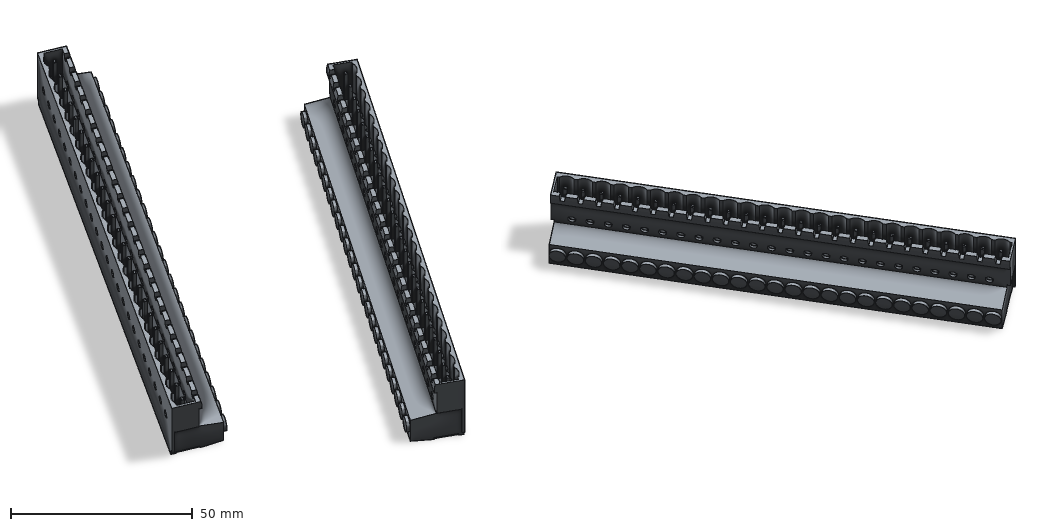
import cadquery as cq
import math

length = 128.6
height = 22.0
depth = 16.2

pin_count = 25
pitch = 5.08
pin_width = 1.0
pin_y = 4.0
pin_top = 20.8
pin_bevel = 0.3
pin_embed = 0.6

shroud_back = 7.8
front_plate_depth = 0.8
end_wall = 0.6
pocket_floor = 10.9
pocket_front = 1.7
pocket_back = 7.0
scallop_radius = 3.1

rail_crest_back = 8.6
rail_top_back = 8.4
rail_shoulder_drop = 1.2
rail_drop = 3.2
notch_top_width = 1.8
notch_bottom_width = 1.2
notch_depth = 1.7

hole_diameter = 2.2
hole_z = 12.1

housing_length = 126.8
housing_back = 15.2
housing_step_z = 10.8
housing_front_top = 9.9
housing_back_top = 8.9
housing_back_bottom = 0.8
underside_back = 9.1
plate_bottom = 1.7

foot_height = 0.4
foot_inset = 0.3
foot_front = 1.5
foot_back = 8.4

boss_diameter = 4.6
boss_z = 5.4


def row_positions(count):
    """X positions of a centred row at the contact pitch."""
    return [(i - (count - 1) / 2) * pitch for i in range(count)]


def block(x_size, y_min, y_max, z_min, z_max):
    """Box centred on X, placed by its Y and Z limits."""
    box = cq.Workplane("XY").box(x_size, y_max - y_min, z_max - z_min, centered=(True, False, False))
    return box.translate((0, y_min, z_min))


def extrude_side_profile(points, x_size):
    """Extrude a (Y, Z) outline symmetrically along X."""
    return cq.Workplane("YZ").polyline(points).close().extrude(x_size / 2, both=True)


def make_shroud():
    """Upper walls and the front plate that reaches down past the housing."""
    upper = block(length, 0, shroud_back, housing_step_z, height)
    plate = block(length, 0, front_plate_depth, plate_bottom, height)
    return upper.union(plate)


def make_housing():
    """Tapered rear housing below the shroud."""
    outline = [
        (0, 0),
        (underside_back, 0),
        (housing_back, housing_back_bottom),
        (housing_back, housing_back_top),
        (shroud_back, housing_front_top),
        (shroud_back, housing_step_z),
        (0, housing_step_z),
    ]
    return extrude_side_profile(outline, housing_length)


def make_foot_cut():
    """Shallow relief at the bottom of both housing ends."""
    band = block(length, foot_front, foot_back, 0, foot_height)
    return band.cut(block(housing_length - 2 * foot_inset, 0, depth, 0, foot_height))


def make_rail():
    """Latch rail projecting behind the rear wall, flat underneath."""
    outline = [
        (pocket_back, height),
        (rail_top_back, height),
        (rail_crest_back, height - rail_shoulder_drop),
        (rail_crest_back, height - rail_drop),
        (pocket_back, height - rail_drop),
    ]
    return extrude_side_profile(outline, length)


def make_pocket():
    """Open-top pocket whose front wall is scalloped around each contact."""
    half_length = length / 2 - end_wall
    half_chord = math.sqrt(scallop_radius**2 - (pin_y - pocket_front) ** 2)
    outline = cq.Workplane("XY", origin=(0, 0, pocket_floor))
    outline = outline.moveTo(-half_length, pocket_back).lineTo(-half_length, pocket_front)
    for x in row_positions(pin_count):
        outline = outline.lineTo(x - half_chord, pocket_front)
        outline = outline.threePointArc((x, pin_y - scallop_radius), (x + half_chord, pocket_front))
    outline = outline.lineTo(half_length, pocket_front).lineTo(half_length, pocket_back)
    return outline.close().extrude(height - pocket_floor)


def make_notches():
    """Tapered notches through the rear wall and rail, one per contact."""
    outline = [
        (-notch_top_width / 2, height),
        (notch_top_width / 2, height),
        (notch_bottom_width / 2, height - notch_depth),
        (-notch_bottom_width / 2, height - notch_depth),
    ]
    notch = cq.Workplane("XZ", origin=(0, depth, 0)).polyline(outline).close().extrude(depth - pin_y)
    notches = cq.Workplane("XY")
    for x in row_positions(pin_count):
        notches.add(notch.translate((x, 0, 0)))
    return notches.combine()


def make_holes():
    """Round holes through the front and rear shroud walls."""
    return (
        cq.Workplane("XZ")
        .pushPoints([(x, hole_z) for x in row_positions(pin_count - 1)])
        .circle(hole_diameter / 2)
        .extrude(-depth)
    )


def make_bosses():
    """Round bosses on the rear face, one per contact."""
    return (
        cq.Workplane("XZ", origin=(0, shroud_back, 0))
        .pushPoints([(x, boss_z) for x in row_positions(pin_count)])
        .circle(boss_diameter / 2)
        .extrude(shroud_back - depth)
    )


def make_pins():
    """Square contacts bevelled front and rear at the tip, standing on the pocket floor."""
    return (
        cq.Workplane("XY", origin=(0, pin_y, pocket_floor - pin_embed))
        .pushPoints([(x, 0) for x in row_positions(pin_count)])
        .rect(pin_width, pin_width)
        .extrude(pin_top - pocket_floor + pin_embed)
        .faces(">Z")
        .edges("|X")
        .chamfer(pin_bevel)
    )


body = make_shroud().union(make_housing()).union(make_rail())
body = body.cut(make_foot_cut()).cut(make_pocket()).cut(make_notches()).cut(make_holes())
result = body.union(make_bosses()).union(make_pins())